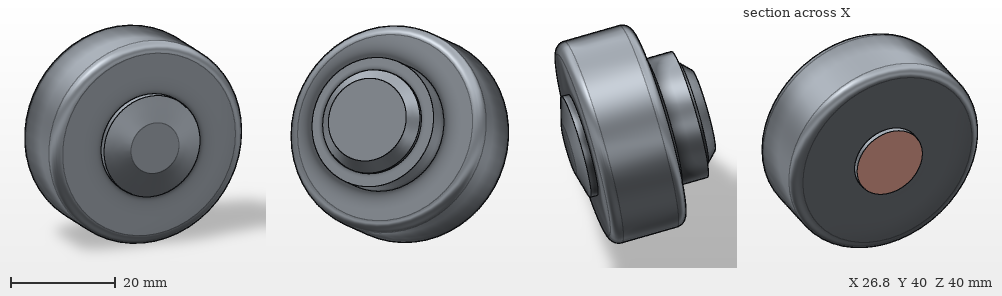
import cadquery as cq

total_length = 26.8

roller_diameter = 40.0
roller_width = 15.0
roller_edge_radius = 2.0
roller_start = 9.0

collar_diameter = 25.0
collar_start = 2.75
collar_end = 8.0

neck_diameter = 14.0

pin_diameter = 20.0
head_chamfer = 2.0
tail_rim_width = 1.4
tail_tip_diameter = 10.0

roller_end = roller_start + roller_width
tail_rim_end = roller_end + tail_rim_width


def disc(diameter, start, end):
    """Cylinder along X between two axial positions."""
    return cq.Workplane("YZ", origin=(start, 0, 0)).circle(diameter / 2).extrude(end - start)


def pin_head():
    """Pin end with a chamfered outer rim, reaching to the collar."""
    return disc(pin_diameter, 0, collar_start).faces("<X").edges().chamfer(head_chamfer)


def roller():
    """Wheel with both outer rims rounded."""
    return disc(roller_diameter, roller_start, roller_end).edges().fillet(roller_edge_radius)


def pin_tail():
    """Short cylindrical rim followed by a shallow cone with a flat tip."""
    profile = (
        cq.Workplane("XY")
        .moveTo(roller_end, 0)
        .lineTo(roller_end, pin_diameter / 2)
        .lineTo(tail_rim_end, pin_diameter / 2)
        .lineTo(total_length, tail_tip_diameter / 2)
        .lineTo(total_length, 0)
        .close()
    )
    return profile.revolve(360, (0, 0, 0), (1, 0, 0))


collar = disc(collar_diameter, collar_start, collar_end)
neck = disc(neck_diameter, collar_end, roller_start)

result = pin_head().union(collar).union(neck).union(roller()).union(pin_tail())